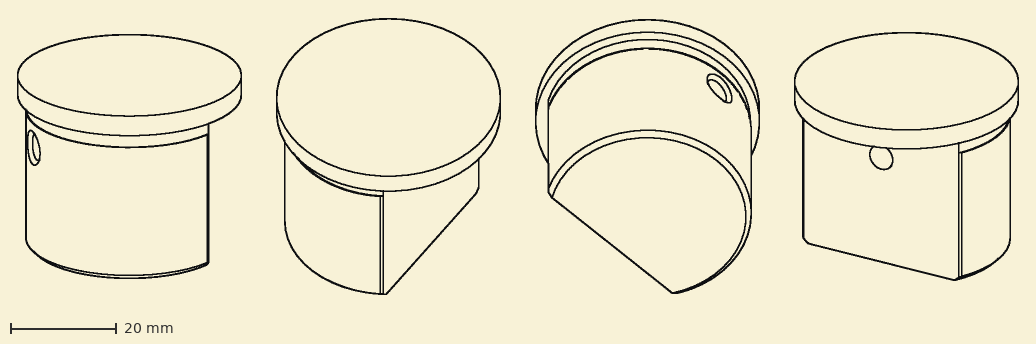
import cadquery as cq
import math

flange_diameter = 42.4
flange_thickness = 4.0
total_height = 34.0

body_diameter = 39.3
neck_diameter = 38.95
neck_height = 3.0
body_height = total_height - flange_thickness - neck_height
flange_bottom = body_height + neck_height
bottom_chamfer = 1.0

flat_y = 9.55
flat_half_width = math.sqrt((neck_diameter / 2) ** 2 - flat_y**2)

hole_diameter = 5.0
hole_depth_from_top = 12.0
hole_z = total_height - hole_depth_from_top
hole_chamfer = 0.8


def disc(diameter, height, bottom):
    """Upright cylinder on the Z axis, standing at the given level."""
    return cq.Workplane("XY").workplane(offset=bottom).circle(diameter / 2).extrude(height)


def trim_to_flat(solid):
    """Keep what lies behind the flat and its 45-degree corner bevels."""
    reach = flange_diameter
    outer_x = flat_half_width + reach
    kept = (
        cq.Workplane("XY")
        .moveTo(-flat_half_width, flat_y)
        .lineTo(flat_half_width, flat_y)
        .lineTo(outer_x, flat_y - reach)
        .lineTo(-outer_x, flat_y - reach)
        .close()
        .extrude(total_height)
    )
    return solid.intersect(kept)


def drill_cross_hole(body):
    """Drill through along Y and chamfer the hole's edge on the round -Y side."""
    drill = (
        cq.Workplane("XZ")
        .center(0, hole_z)
        .circle(hole_diameter / 2)
        .extrude(flange_diameter, both=True)
    )
    around_mouth = cq.selectors.BoxSelector(
        (-hole_diameter, -body_diameter, hole_z - hole_diameter / 2),
        (hole_diameter, 0, hole_z + hole_diameter / 2),
    )
    return body.cut(drill).edges("not |Y").edges(around_mouth).chamfer(hole_chamfer)


flange = disc(flange_diameter, flange_thickness, flange_bottom)
neck = trim_to_flat(disc(neck_diameter, neck_height, body_height))
round_body = disc(body_diameter, body_height, 0).faces("<Z").chamfer(bottom_chamfer)
body = drill_cross_hole(trim_to_flat(round_body))

result = flange.union(neck).union(body)